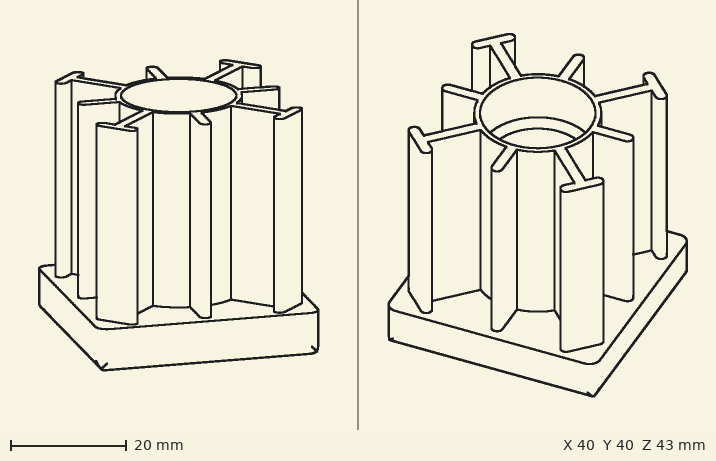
import cadquery as cq

total_height = 43.0
base_side = 40.0
base_height = 8.0
corner_radius = 2.0
bottom_edge_radius = 2.3

tube_diameter = 22.0
upper_bore_diameter = 20.0
lower_bore_diameter = 17.3
bore_shoulder_depth = 8.7
bore_taper_height = 1.4

rib_thickness = 2.0
straight_rib_span = 36.1
diagonal_bar_distance = 21.7
diagonal_bar_length = 7.85

rib_height = total_height - base_height


def rounded_bottom_prism(plane):
    """Full-width prism along the plane normal, with its two bottom edges rounded."""
    edge_selector = "|Y" if plane == "XZ" else "|X"
    return (
        cq.Workplane(plane)
        .center(0, base_height / 2)
        .rect(base_side, base_height)
        .extrude(base_side / 2, both=True)
        .edges(edge_selector).edges("<Z")
        .fillet(bottom_edge_radius)
    )


def make_base():
    """Square plate whose rounded sides and bottom edges meet in mitred corners."""
    plate = (
        cq.Workplane("XY")
        .rect(base_side, base_side)
        .extrude(base_height)
        .edges("|Z")
        .fillet(corner_radius)
    )
    return plate.intersect(rounded_bottom_prism("XZ")).intersect(rounded_bottom_prism("YZ"))


def rib_workplane():
    return cq.Workplane("XY").workplane(offset=base_height)


def straight_rib(angle):
    """Round-ended rib running across the whole tube."""
    return rib_workplane().slot2D(straight_rib_span, rib_thickness, angle).extrude(rib_height)


def diagonal_rib(angle):
    """T-shaped rib: a radial web closed by a round-ended bar."""
    web = (
        rib_workplane()
        .center(diagonal_bar_distance / 2, 0)
        .rect(diagonal_bar_distance, rib_thickness)
        .extrude(rib_height)
    )
    bar = (
        rib_workplane()
        .center(diagonal_bar_distance, 0)
        .slot2D(diagonal_bar_length, rib_thickness, 90)
        .extrude(rib_height)
    )
    return web.union(bar).rotate((0, 0, 0), (0, 0, 1), angle)


def make_bore():
    """Stepped through bore with a conical shoulder between its two diameters."""
    upper_radius = upper_bore_diameter / 2
    lower_radius = lower_bore_diameter / 2
    shoulder_top = total_height - bore_shoulder_depth
    shoulder_bottom = shoulder_top - bore_taper_height
    return (
        cq.Workplane("XZ")
        .polyline([
            (0, 0),
            (lower_radius, 0),
            (lower_radius, shoulder_bottom),
            (upper_radius, shoulder_top),
            (upper_radius, total_height),
            (0, total_height),
        ])
        .close()
        .revolve(360, (0, 0, 0), (0, 1, 0))
    )


body = make_base().union(rib_workplane().circle(tube_diameter / 2).extrude(rib_height))
for angle in (0, 90):
    body = body.union(straight_rib(angle))
for angle in (45, 135, 225, 315):
    body = body.union(diagonal_rib(angle))

result = body.cut(make_bore())